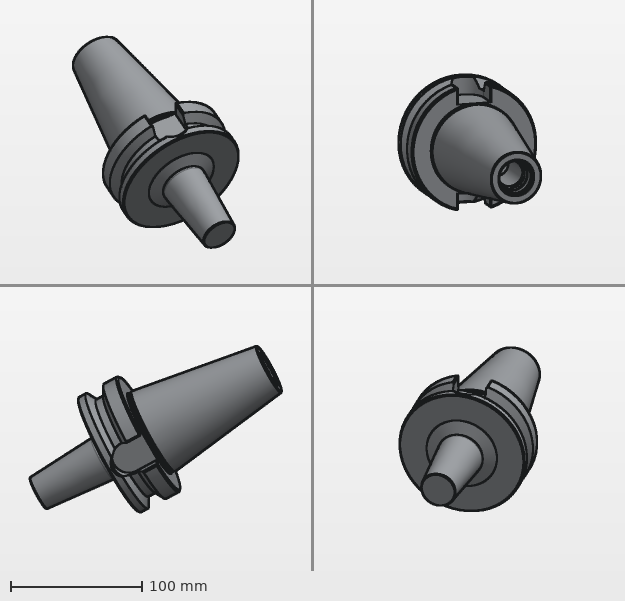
import cadquery as cq
import math

total_length = 201.8

taper_length = 101.0
taper_base_radius = 35.0
taper_end_radius = taper_base_radius - taper_length * 7 / 48
taper_end_chamfer = 0.6

relief_radius = 34.3
relief_start = 102.1
relief_end = 103.5

flange_radius = 99.9 / 2
flange_start = 104.7
flange_end = 139.6
flange_front_chamfer = 1.2
flange_back_chamfer = 0.8
groove_radius = 42.2
groove_floor_start = 121.7
groove_floor_end = 128.3
groove_flank_run = (flange_radius - groove_radius) * math.tan(math.radians(30))

shoulder_radius = 28.0
neck_start = 143.7
neck_end = 145.7
neck_radius = 18.0
nose_radius = 13.7
nose_chamfer = 0.6

slot_width = 25.8
slot_floor = 35.0
slot_end = 135.6
slot_edge_chamfer = 1.0
slot_rim_chamfer = 1.2

mouth_radius = 14.3
mouth_depth = 1.0
centering_radius = 13.3
centering_depth = 3.0
counterbore_radius = 12.5
counterbore_depth = 10.5
thread_radius = 11.5
thread_mouth_radius = 12.1
thread_start = 13.3
thread_depth = 14.7
core_radius = 10.0
core_start = 16.1
core_depth = 50.5
drill_half_angle = 59.0


def revolve_about_x(points):
    """Revolve a closed (x, radius) outline about the X axis."""
    return cq.Workplane("XY").polyline(points).close().revolve(360, (0, 0, 0), (1, 0, 0))


def make_body():
    front_land_end = groove_floor_start - groove_flank_run
    back_land_start = groove_floor_end + groove_flank_run
    return revolve_about_x([
        (0, 0),
        (0, taper_end_radius - taper_end_chamfer),
        (taper_end_chamfer, taper_end_radius),
        (taper_length, taper_base_radius),
        (relief_start, relief_radius),
        (relief_end, relief_radius),
        (flange_start, taper_base_radius),
        (flange_start, flange_radius - flange_front_chamfer),
        (flange_start + flange_front_chamfer, flange_radius),
        (front_land_end, flange_radius),
        (groove_floor_start, groove_radius),
        (groove_floor_end, groove_radius),
        (back_land_start, flange_radius),
        (flange_end - flange_back_chamfer, flange_radius),
        (flange_end, flange_radius - flange_back_chamfer),
        (flange_end, shoulder_radius),
        (neck_start, neck_radius),
        (neck_end, neck_radius),
        (total_length - nose_chamfer, nose_radius),
        (total_length, nose_radius - nose_chamfer),
        (total_length, 0),
    ])


def make_drawbar_hole():
    tip = core_depth + core_radius / math.tan(math.radians(drill_half_angle))
    return revolve_about_x([
        (0, 0),
        (0, mouth_radius),
        (mouth_depth, centering_radius),
        (centering_depth, counterbore_radius),
        (counterbore_depth, counterbore_radius),
        (counterbore_depth, thread_mouth_radius),
        (thread_start, thread_radius),
        (thread_depth, thread_radius),
        (core_start, core_radius),
        (core_depth, core_radius),
        (tip, 0),
    ])


def make_top_slot():
    half_width = slot_width / 2
    return (
        cq.Workplane("XY", origin=(0, 0, slot_floor))
        .moveTo(taper_length, -half_width)
        .lineTo(slot_end - half_width, -half_width)
        .threePointArc((slot_end, 0), (slot_end - half_width, half_width))
        .lineTo(taper_length, half_width)
        .close()
        .extrude(flange_radius)
    )


def make_slot_end_countersink():
    """Cone that bevels the rim of the rounded slot end."""
    half_width = slot_width / 2
    return (
        cq.Workplane("XZ")
        .polyline([
            (0, flange_radius - slot_rim_chamfer),
            (half_width, flange_radius - slot_rim_chamfer),
            (half_width + slot_rim_chamfer, flange_radius),
            (0, flange_radius),
        ])
        .close()
        .revolve(360, (0, 0, 0), (0, 1, 0))
        .translate((slot_end - half_width, 0, 0))
    )


def make_wall_bevels():
    """Prisms that bevel the slot walls along the flange face and the front land."""
    half_width = slot_width / 2
    wide = half_width + slot_edge_chamfer
    face_bevel = (
        cq.Workplane("XY", origin=(0, 0, slot_floor))
        .polyline([
            (flange_start, -wide),
            (flange_start + slot_edge_chamfer, -half_width),
            (flange_start + slot_edge_chamfer, half_width),
            (flange_start, wide),
        ])
        .close()
        .extrude(flange_radius)
    )
    wall_top = math.sqrt(flange_radius**2 - wide**2)
    land_bevel = (
        cq.Workplane("YZ", origin=(flange_start, 0, 0))
        .polyline([
            (-half_width, wall_top - slot_edge_chamfer),
            (half_width, wall_top - slot_edge_chamfer),
            (wide, wall_top),
            (wide, flange_radius),
            (-wide, flange_radius),
            (-wide, wall_top),
        ])
        .close()
        .extrude(groove_floor_start - flange_start)
    )
    return face_bevel.union(land_bevel)


top_slot = make_top_slot().union(make_slot_end_countersink()).union(make_wall_bevels())
bottom_slot = top_slot.rotate((0, 0, 0), (1, 0, 0), 180)

result = make_body().cut(top_slot).cut(bottom_slot).cut(make_drawbar_hole())